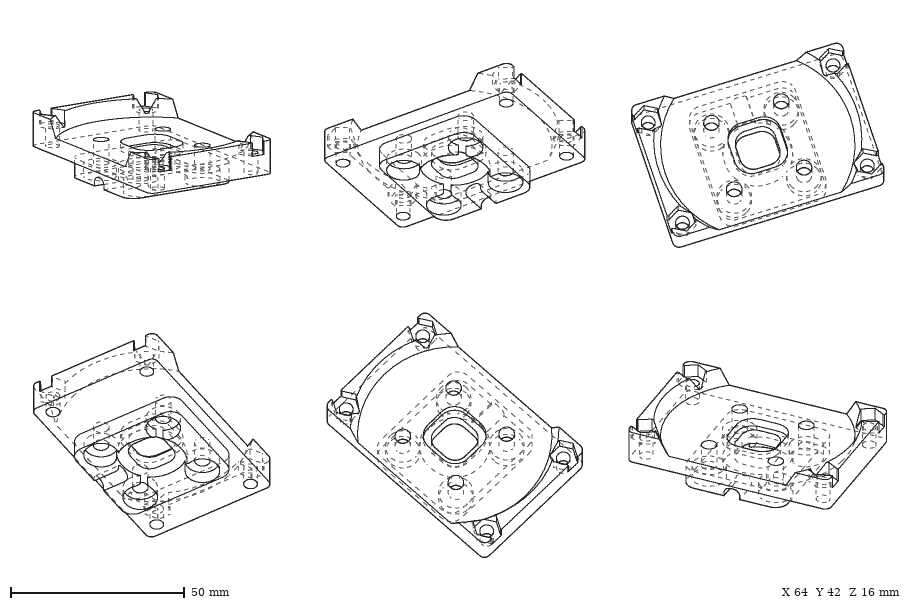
import cadquery as cq
import math

plate_length = 64
plate_width = 42.0
plate_thickness = 10.1
plate_corner_radius = 2.0

base_length = 32
base_width = 36.0
base_height = 5.9
base_corner_radius = 4.0

recess_depth = 5.0
recess_floor_radius = 28.0
recess_top_radius = 30.0

ledge_size = 15.75
ledge_corner_radius = 5.0
ledge_depth = 2.5
opening_size = 11.9
opening_corner_radius = 4.0

pocket_size = 20.0
pocket_corner_radius = 9.55
pocket_depth = 4.0
pocket_mouth_radius = 1.0

slot_width = 5.0
slot_height = 3.0
slot_arch_radius = 2.0

inner_hole_diameter = 4.5
inner_bolt_circle_radius = 15.0
screw_head_diameter = 10.0
screw_head_depth = pocket_depth
corner_hole_diameter = 4.0
corner_hole_x = 28.0
corner_hole_y = 16
nut_across_flats = 7.0
nut_depth = 4.0

top_z = base_height + plate_thickness
floor_z = top_z - recess_depth
ledge_z = floor_z - ledge_depth
nut_floor_z = top_z - nut_depth


def rounded_block(length, width, radius, bottom_z, top_z):
    """Centred block with rounded vertical edges."""
    block = cq.Workplane("XY").box(length, width, top_z - bottom_z, centered=(True, True, False))
    return block.edges("|Z").fillet(radius).translate((0, 0, bottom_z))


def body():
    plate = rounded_block(plate_length, plate_width, plate_corner_radius, base_height, top_z)
    base = rounded_block(base_length, base_width, base_corner_radius, 0, base_height)
    return plate.union(base)


def conical_recess():
    profile = [(0, floor_z), (recess_floor_radius, floor_z), (recess_top_radius, top_z), (0, top_z)]
    return cq.Workplane("XZ").polyline(profile).close().revolve(360, (0, 0, 0), (0, 1, 0))


def central_opening():
    ledge = rounded_block(ledge_size, ledge_size, ledge_corner_radius, ledge_z, floor_z)
    opening = rounded_block(opening_size, opening_size, opening_corner_radius, 0, floor_z)
    return ledge.union(opening)


def cut_underside_pocket(solid):
    """Cut the rounded square pocket and round over its mouth."""
    pocket = rounded_block(pocket_size, pocket_size, pocket_corner_radius, 0, pocket_depth)
    hollowed = solid.cut(pocket)
    mouth_wire = hollowed.faces("<Z").val().innerWires()[0]
    return hollowed.newObject(mouth_wire.Edges()).fillet(pocket_mouth_radius)


def cable_slot():
    slot = cq.Workplane("XY").box(slot_width, base_width / 2, slot_height, centered=(True, False, False))
    return slot.edges("|Y and >Z").fillet(slot_arch_radius).translate((0, -base_width / 2, 0))


def vertical_holes(points, diameter, height):
    """Round holes from the underside up to the given height."""
    return cq.Workplane("XY").pushPoints(points).circle(diameter / 2).extrude(height)


def nut_trap(x, y):
    """Hexagonal pocket with one flat facing the nearer end of the plate, open to that end."""
    vertex_diameter = nut_across_flats / math.cos(math.pi / 6)
    flat_width = vertex_diameter / 2
    hexagon = cq.Workplane("XY").polygon(6, vertex_diameter).extrude(nut_depth)
    hexagon = hexagon.rotate((0, 0, 0), (0, 0, 1), 30).translate((x, y, nut_floor_z))
    end_distance = plate_length / 2 - abs(x)
    opening = cq.Workplane("XY").box(end_distance, flat_width, nut_depth, centered=(True, True, False))
    opening_x = math.copysign((plate_length / 2 + abs(x)) / 2, x)
    return hexagon.union(opening.translate((opening_x, y, nut_floor_z)))


quadrants = [(sx, sy) for sx in (-1, 1) for sy in (-1, 1)]
inner_hole_offset = inner_bolt_circle_radius * math.sqrt(0.5)
inner_points = [(sx * inner_hole_offset, sy * inner_hole_offset) for sx, sy in quadrants]
corner_points = [(sx * corner_hole_x, sy * corner_hole_y) for sx, sy in quadrants]

result = cut_underside_pocket(body())
result = result.cut(conical_recess())
result = result.cut(central_opening())
result = result.cut(cable_slot())
result = result.cut(vertical_holes(inner_points, inner_hole_diameter, top_z))
result = result.cut(vertical_holes(inner_points, screw_head_diameter, screw_head_depth))
result = result.cut(vertical_holes(corner_points, corner_hole_diameter, top_z))
for x, y in corner_points:
    result = result.cut(nut_trap(x, y))